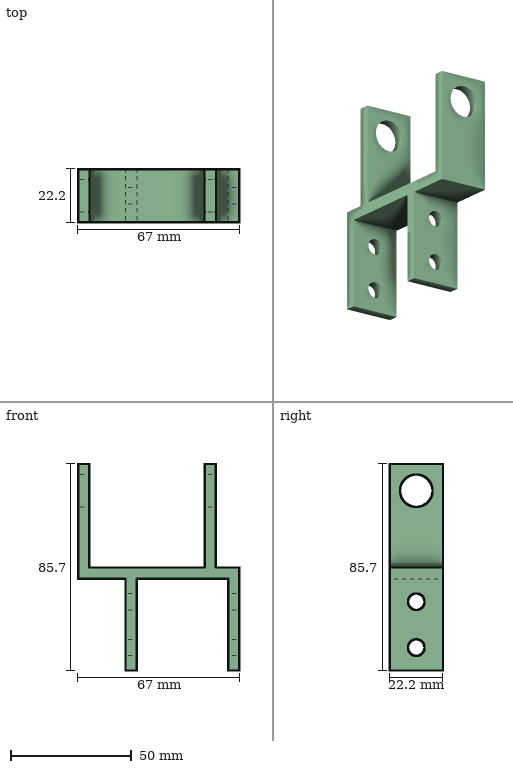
import cadquery as cq

length = 66.95
width = 22.2
height = 85.7
wall = 4.7

web_bottom = 38.1
web_top = web_bottom + wall

upper_span = 57.2
lower_span = 47.3

upper_hole_diameter = 13.4
upper_hole_height = height - width / 2
lower_hole_diameter = 6.8
lower_hole_heights = [web_bottom / 4, web_bottom * 3 / 4]


def plate(x_start, x_size, z_start, z_end):
    """Full-width rectangular plate, centred on Y = 0."""
    return (
        cq.Workplane("XY")
        .box(x_size, width, z_end - z_start, centered=(False, True, False))
        .translate((x_start, 0, z_start))
    )


def cross_hole(diameter, z):
    """Cylinder along X that passes through every leg at height z."""
    return cq.Workplane("YZ").center(0, z).circle(diameter / 2).extrude(length)


result = plate(0, length, web_bottom, web_top)
for leg_x in (0, upper_span - wall):
    result = result.union(plate(leg_x, wall, web_bottom, height))
for leg_x in (length - lower_span, length - wall):
    result = result.union(plate(leg_x, wall, 0, web_top))

result = result.cut(cross_hole(upper_hole_diameter, upper_hole_height))
for hole_height in lower_hole_heights:
    result = result.cut(cross_hole(lower_hole_diameter, hole_height))